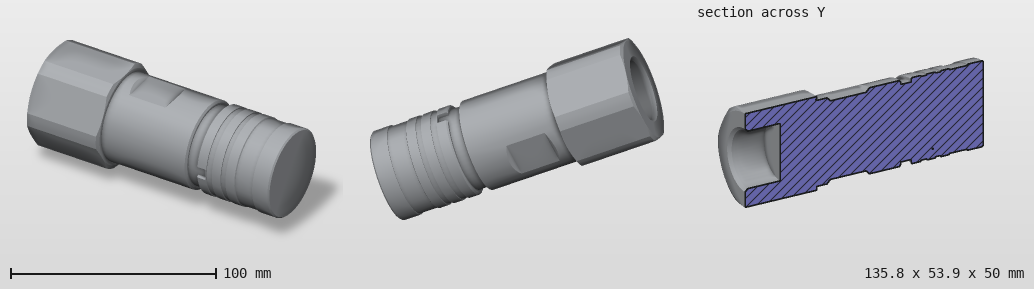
import cadquery as cq

TOTAL_LENGTH = 135.85
HEX_LENGTH = 41.0
BODY_END = 88.85
SLEEVE_START = 94.6

HEX_ACROSS_FLATS = 50.0
HEX_TURNED_RADIUS = 26.97
HEX_FACE_RADIUS = 24.9
HEX_CHAMFER_LENGTH = 0.95
HEX_SIDES = 6
FLAT_ALIGN_ANGLE = 180 / HEX_SIDES

BODY_RADIUS = 23.0
NECK_RADIUS = 20.75
GROOVE_RADIUS = 22.4
BODY_CHAMFER_LENGTH = 0.75
BODY_CHAMFER_HEIGHT = 1.2
SLEEVE_CHAMFER = 0.75

SLEEVE_GROOVES = [
    (100.3, 103.55, 0.0),
    (108.5, 111.3, 0.0),
    (116.3, 126.45, 0.35),
]

FLAT_HALF_DISTANCE = 21.0
FLAT_START = 48.75
FLAT_END = 69.0

NOTCH_WIDTH = 6.1
NOTCH_END = 99.9
NOTCH_CORNER_RADIUS = 0.6

BORE_RADIUS = 15.15
BORE_MOUTH_RADIUS = 16.75
BORE_DEPTH = 20.0


def revolve_about_x(points):
    """Turn a closed (x, radius) outline about the X axis."""
    return cq.Workplane("XZ").polyline(points).close().revolve(360, (0, 0, 0), (1, 0, 0))


def make_hexagon():
    """Hexagonal end: prism with flats facing +Z and -Z, corners turned and both ends chamfered."""
    prism = (
        cq.Workplane("YZ")
        .polygon(HEX_SIDES, HEX_ACROSS_FLATS, circumscribed=True)
        .extrude(HEX_LENGTH)
        .rotate((0, 0, 0), (1, 0, 0), FLAT_ALIGN_ANGLE)
    )
    envelope = revolve_about_x([
        (0, 0),
        (0, HEX_FACE_RADIUS),
        (HEX_CHAMFER_LENGTH, HEX_TURNED_RADIUS),
        (HEX_LENGTH - HEX_CHAMFER_LENGTH, HEX_TURNED_RADIUS),
        (HEX_LENGTH, HEX_FACE_RADIUS),
        (HEX_LENGTH, 0),
    ])
    return prism.intersect(envelope)


def make_turned_body():
    """Body, neck and grooved sleeve as one turned profile."""
    profile = [
        (HEX_LENGTH, 0),
        (HEX_LENGTH, BODY_RADIUS),
        (BODY_END - BODY_CHAMFER_LENGTH, BODY_RADIUS),
        (BODY_END, BODY_RADIUS - BODY_CHAMFER_HEIGHT),
        (BODY_END, NECK_RADIUS),
        (SLEEVE_START, NECK_RADIUS),
        (SLEEVE_START, BODY_RADIUS - SLEEVE_CHAMFER),
        (SLEEVE_START + SLEEVE_CHAMFER, BODY_RADIUS),
    ]
    for start, end, taper_length in SLEEVE_GROOVES:
        profile += [
            (start, BODY_RADIUS),
            (start + taper_length, GROOVE_RADIUS),
            (end, GROOVE_RADIUS),
            (end, BODY_RADIUS),
        ]
    profile += [
        (TOTAL_LENGTH - SLEEVE_CHAMFER, BODY_RADIUS),
        (TOTAL_LENGTH, BODY_RADIUS - SLEEVE_CHAMFER),
        (TOTAL_LENGTH, 0),
    ]
    return revolve_about_x(profile)


def make_wrench_flat_cutters():
    """Cutters for the two wrench flats; their end walls slope outward at 45 degrees."""
    rise = HEX_TURNED_RADIUS - FLAT_HALF_DISTANCE
    upper = (
        cq.Workplane("XZ")
        .polyline([
            (FLAT_START, FLAT_HALF_DISTANCE),
            (FLAT_END, FLAT_HALF_DISTANCE),
            (FLAT_END + rise, FLAT_HALF_DISTANCE + rise),
            (FLAT_START - rise, FLAT_HALF_DISTANCE + rise),
        ])
        .close()
        .extrude(BODY_RADIUS, both=True)
    )
    return upper.union(upper.mirror("XY"))


def make_notch_cutter():
    """Cutter for both rim notches; their floors continue the neck surface."""
    length = NOTCH_END - SLEEVE_START
    slot = (
        cq.Workplane("XY")
        .box(length, 2 * BODY_RADIUS, NOTCH_WIDTH)
        .edges("|Y and >X")
        .fillet(NOTCH_CORNER_RADIUS)
        .translate((SLEEVE_START + length / 2, 0, 0))
    )
    neck_core = cq.Workplane("YZ").circle(NECK_RADIUS).extrude(TOTAL_LENGTH)
    return slot.cut(neck_core)


def make_bore():
    """Blind bore with a 45 degree countersunk mouth."""
    return revolve_about_x([
        (0, 0),
        (0, BORE_MOUTH_RADIUS),
        (BORE_MOUTH_RADIUS - BORE_RADIUS, BORE_RADIUS),
        (BORE_DEPTH, BORE_RADIUS),
        (BORE_DEPTH, 0),
    ])


result = (
    make_hexagon()
    .union(make_turned_body())
    .cut(make_wrench_flat_cutters())
    .cut(make_notch_cutter())
    .cut(make_bore())
)